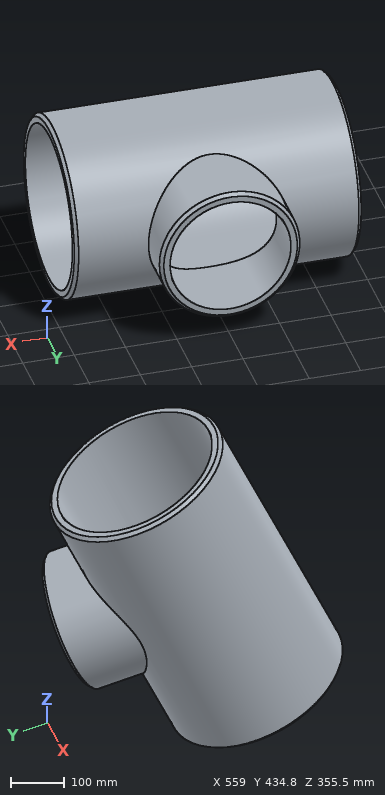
import cadquery as cq

run_length = 559.0
run_diameter = 355.5
wall = 19.0
branch_diameter = 273.0
branch_reach = 257.0

bevel = 6.5


def pipe_solid(start_plane, diameter, length):
    """Solid cylinder growing along the normal of the given plane."""
    return cq.Workplane(start_plane).circle(diameter / 2).extrude(length)


def bevel_end(pipe, face):
    """Bevel the outer rim of one end face."""
    return pipe.faces(face).chamfer(bevel)


run_start = cq.Plane(origin=(-run_length / 2, 0, 0), xDir=(0, 1, 0), normal=(1, 0, 0))
branch_start = cq.Plane(origin=(0, 0, 0), xDir=(1, 0, 0), normal=(0, 1, 0))

run = pipe_solid(run_start, run_diameter, run_length)
run = bevel_end(run, "<X or >X")
branch = pipe_solid(branch_start, branch_diameter, branch_reach)
branch = bevel_end(branch, ">Y")

run_bore = pipe_solid(run_start, run_diameter - 2 * wall, run_length)
branch_bore = pipe_solid(branch_start, branch_diameter - 2 * wall, branch_reach)

result = run.union(branch).cut(run_bore).cut(branch_bore)